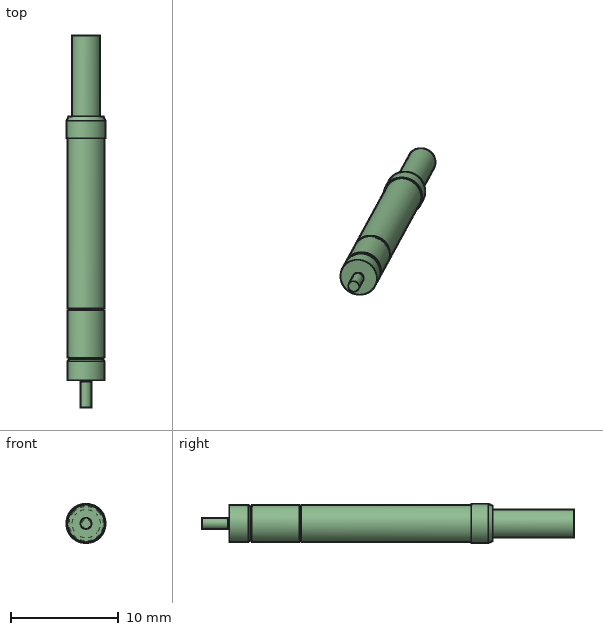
import cadquery as cq

overall_length = 34.5

tail_radius = 1.3
body_radius = 1.72
collar_radius = 1.83
collar_lead_drop = 0.19
pin_radius = 0.52
pin_neck_radius = 0.4
groove_depth = 0.15

pin_length = 2.52
pin_neck_length = 0.15
nose_length = 1.8
nose_taper_length = 0.17
nose_groove_width = 0.3
sleeve_length = 4.38
sleeve_groove_width = 0.2
sleeve_groove_floor_width = 0.07
collar_length = 1.6
collar_lead_length = 0.4
tail_length = 7.52

nose_front = pin_length
neck_front = nose_front - pin_neck_length
nose_rear = nose_front + nose_length
nose_taper_rear = nose_rear + nose_taper_length
sleeve_front = nose_rear + nose_groove_width
sleeve_rear = sleeve_front + sleeve_length
barrel_front = sleeve_rear + sleeve_groove_width
tail_front = overall_length - tail_length
collar_rear = tail_front - collar_lead_length
collar_front = collar_rear - collar_length

groove_radius = body_radius - groove_depth
groove_taper_length = (sleeve_groove_width - sleeve_groove_floor_width) / 2
collar_lead_radius = collar_radius - collar_lead_drop

half_section = (
    cq.Workplane("XY")
    .moveTo(0, 0)
    .lineTo(pin_radius, 0)
    .lineTo(pin_radius, neck_front)
    .lineTo(pin_neck_radius, neck_front)
    .lineTo(pin_neck_radius, nose_front)
    .lineTo(body_radius, nose_front)
    .lineTo(body_radius, nose_rear)
    .lineTo(groove_radius, nose_taper_rear)
    .lineTo(groove_radius, sleeve_front)
    .lineTo(body_radius, sleeve_front)
    .lineTo(body_radius, sleeve_rear)
    .lineTo(groove_radius, sleeve_rear + groove_taper_length)
    .lineTo(groove_radius, barrel_front - groove_taper_length)
    .lineTo(body_radius, barrel_front)
    .lineTo(body_radius, collar_front)
    .lineTo(collar_radius, collar_front)
    .lineTo(collar_radius, collar_rear)
    .lineTo(collar_lead_radius, tail_front)
    .lineTo(tail_radius, tail_front)
    .lineTo(tail_radius, overall_length)
    .lineTo(0, overall_length)
    .close()
)

result = half_section.revolve(360, (0, 0, 0), (0, 1, 0))